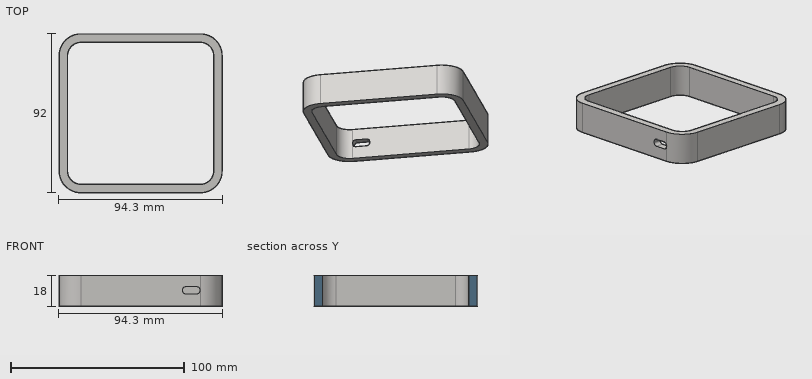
import cadquery as cq

outer_length = 94.34
outer_width = 91.96
height = 18.0
wall = 5.0
outer_corner_radius = 12.7
inner_corner_radius = outer_corner_radius - wall

slot_length = 10.0
slot_height = 4.2
slot_corner_radius = 1.8
slot_center_z = 9.3
slot_corner_gap = 0.2
slot_right_x = outer_length / 2 - outer_corner_radius - slot_corner_gap
slot_center_x = slot_right_x - slot_length / 2


def rounded_block(length, width, corner_radius):
    """Full-height block standing on Z = 0, with rounded vertical edges."""
    block = cq.Workplane("XY").box(length, width, height, centered=(True, True, False))
    return block.edges("|Z").fillet(corner_radius)


def make_frame():
    outside = rounded_block(outer_length, outer_width, outer_corner_radius)
    opening = rounded_block(outer_length - 2 * wall, outer_width - 2 * wall, inner_corner_radius)
    return outside.cut(opening)


def make_port_slot():
    """Rounded bar that crosses the whole front wall."""
    wall_center_y = (wall - outer_width) / 2
    bar = cq.Workplane("XY").box(slot_length, wall, slot_height)
    bar = bar.edges("|Y").fillet(slot_corner_radius)
    return bar.translate((slot_center_x, wall_center_y, slot_center_z))


result = make_frame().cut(make_port_slot())